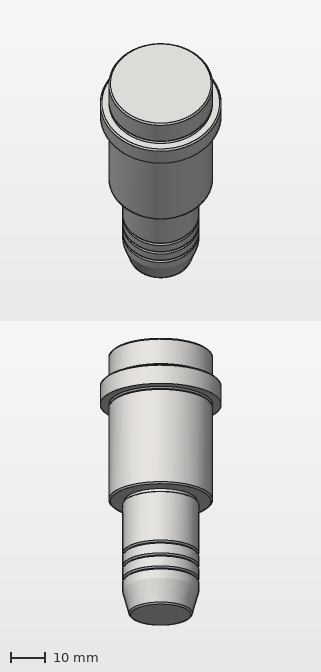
import cadquery as cq

TOTAL_HEIGHT = 80.0
EDGE_CHAMFER = 0.5
NECK_DEPTH = 0.5

V_GROOVE_WIDTH = 1.0

FLANGE_RADIUS = 17.5
BODY_RADIUS = 15.0
STEM_RADIUS = 11.0
TIP_RADIUS = 9.2

CAP_BOTTOM = 72.0
FLANGE_TOP = CAP_BOTTOM - V_GROOVE_WIDTH
BODY_TOP = 64.0
FLANGE_BOTTOM = BODY_TOP + V_GROOVE_WIDTH
BODY_BOTTOM = 35.0
STEM_TOP = 34.0
TAPER_START = 7.2

RING_GROOVE_PITCH = 4.0
RING_GROOVE_COUNT = 3
FIRST_RING_GROOVE_TOP = 19.0


def make_cylinder(radius, bottom, top):
    """Solid cylinder on the Z axis between two levels."""
    return cq.Workplane("XY").workplane(offset=bottom).circle(radius).extrude(top - bottom)


def make_v_groove(radius, top):
    """Ring cutter of triangular section, opening at the given radius."""
    depth = V_GROOVE_WIDTH / 2
    return (
        cq.Workplane("XZ")
        .moveTo(radius, top)
        .lineTo(radius - depth, top - depth)
        .lineTo(radius, top - V_GROOVE_WIDTH)
        .close()
        .revolve(360, (0, 0, 0), (0, 1, 0))
    )


def make_head():
    """Body and cap in one cylinder, grooved above and below the flange."""
    head = (
        make_cylinder(BODY_RADIUS, BODY_BOTTOM, TOTAL_HEIGHT)
        .faces("<Z or >Z")
        .chamfer(EDGE_CHAMFER)
    )
    for groove_top in (CAP_BOTTOM, FLANGE_BOTTOM):
        head = head.cut(make_v_groove(BODY_RADIUS, groove_top))
    flange = (
        make_cylinder(FLANGE_RADIUS, FLANGE_BOTTOM, FLANGE_TOP)
        .faces(">Z")
        .chamfer(EDGE_CHAMFER)
    )
    return head.union(flange)


def make_stem():
    """Stem with a relieved neck at the top, ring grooves and a conical, chamfered nose."""
    neck_radius = STEM_RADIUS - NECK_DEPTH
    stem = (
        cq.Workplane("XZ")
        .lineTo(TIP_RADIUS - EDGE_CHAMFER, 0)
        .lineTo(TIP_RADIUS, EDGE_CHAMFER)
        .lineTo(STEM_RADIUS, TAPER_START)
        .lineTo(STEM_RADIUS, STEM_TOP)
        .lineTo(neck_radius, STEM_TOP)
        .lineTo(neck_radius, BODY_BOTTOM)
        .lineTo(0, BODY_BOTTOM)
        .close()
        .revolve(360, (0, 0, 0), (0, 1, 0))
    )
    for index in range(RING_GROOVE_COUNT):
        groove_top = FIRST_RING_GROOVE_TOP - index * RING_GROOVE_PITCH
        stem = stem.cut(make_v_groove(STEM_RADIUS, groove_top))
    return stem


result = make_head().union(make_stem())